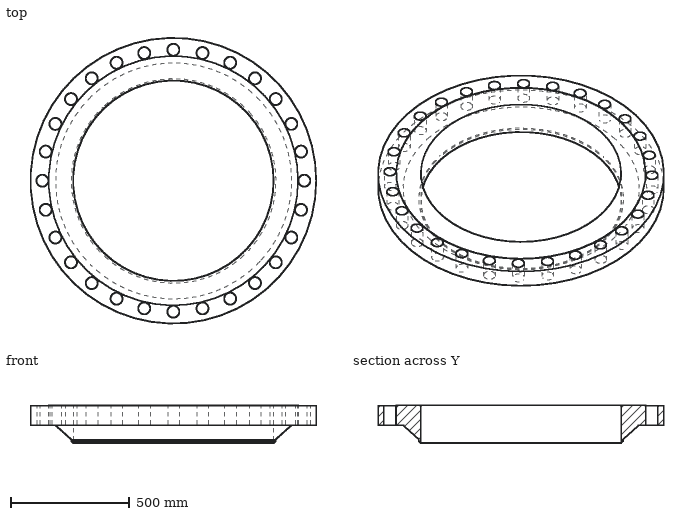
import cadquery as cq

flange_radius = 603.0
flange_thickness = 83.0
bore_radius = 422.0

face_radius = 526.0
face_height = 2.0

total_height = 160.0
hub_top_radius = 498.0
neck_radius = 432.0
lip_height = 16.0
lip_bevel_height = 8.0
lip_end_radius = 423.0

bolt_count = 28
bolt_circle_radius = 553.0
bolt_hole_diameter = 50.0

flange_top = total_height - face_height
flange_bottom = flange_top - flange_thickness


def revolved_body():
    """Revolve the half section, given as (radius, height), about Z."""
    section = [
        (bore_radius, 0),
        (lip_end_radius, 0),
        (neck_radius, lip_bevel_height),
        (neck_radius, lip_height),
        (hub_top_radius, flange_bottom),
        (flange_radius, flange_bottom),
        (flange_radius, flange_top),
        (face_radius, flange_top),
        (face_radius, total_height),
        (bore_radius, total_height),
    ]
    return cq.Workplane("XZ").polyline(section).close().revolve(360, (0, 0, 0), (0, 1, 0))


def bolt_holes():
    """Through-hole cutters on the bolt circle, the first one on the +X axis."""
    return (
        cq.Workplane("XY")
        .polarArray(bolt_circle_radius, 0, 360, bolt_count)
        .circle(bolt_hole_diameter / 2)
        .extrude(total_height)
    )


result = revolved_body().cut(bolt_holes())